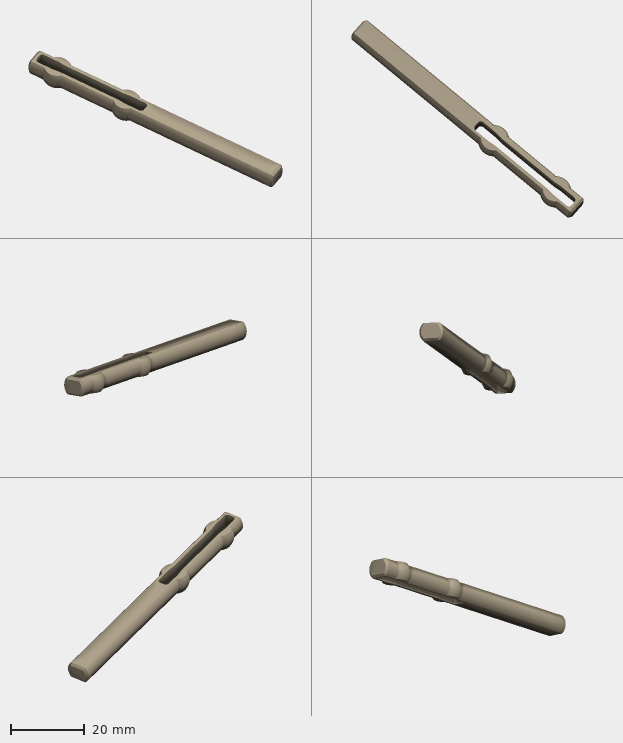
import cadquery as cq

rod_length = 78.1
rod_diameter = 6.7
height_across_flats = 5.0
end_chamfer = 0.6

bulge_diameter = 8.5
first_bulge_x = 7.6
second_bulge_x = 29.7

slot_start_x = 1.4
slot_end_x = 35.8
slot_end_width = 3.1
slot_middle_width = 2.65
slot_corner_radius = 0.9
taper_start_offset = 0.55
taper_length = 2.35


def trimmed_to_flats(round_body):
    """Cut a round body off level at the top and bottom flats."""
    flats_space = cq.Workplane("XY").box(2 * rod_length, 2 * bulge_diameter, height_across_flats)
    return round_body.intersect(flats_space)


def rod():
    """Flatted rod starting at X = 0, with both end faces chamfered all round."""
    cylinder = cq.Workplane("YZ").circle(rod_diameter / 2).extrude(rod_length)
    return trimmed_to_flats(cylinder).faces("<X or >X").chamfer(end_chamfer)


def bulge(center_x):
    """Sphere on the rod axis, cut off level with the rod flats."""
    ball = cq.Workplane("XY").sphere(bulge_diameter / 2)
    return trimmed_to_flats(ball).translate((center_x, 0, 0))


def slot():
    """Cutter for the slot, with tapers to the narrow middle and rounded end corners."""
    wide = slot_end_width / 2
    narrow = slot_middle_width / 2
    first_taper_x = first_bulge_x - taper_start_offset
    last_taper_x = second_bulge_x + taper_start_offset
    upper_side = [
        (slot_start_x, wide),
        (first_taper_x, wide),
        (first_taper_x + taper_length, narrow),
        (last_taper_x - taper_length, narrow),
        (last_taper_x, wide),
        (slot_end_x, wide),
    ]
    lower_side = [(x, -y) for x, y in reversed(upper_side)]
    cutter = (
        cq.Workplane("XY")
        .polyline(upper_side + lower_side)
        .close()
        .extrude(height_across_flats, both=True)
    )
    end_corners = cutter.faces("<X or >X").edges("|Z")
    return end_corners.fillet(slot_corner_radius)


result = rod()
for bulge_x in (first_bulge_x, second_bulge_x):
    result = result.union(bulge(bulge_x))
result = result.cut(slot())